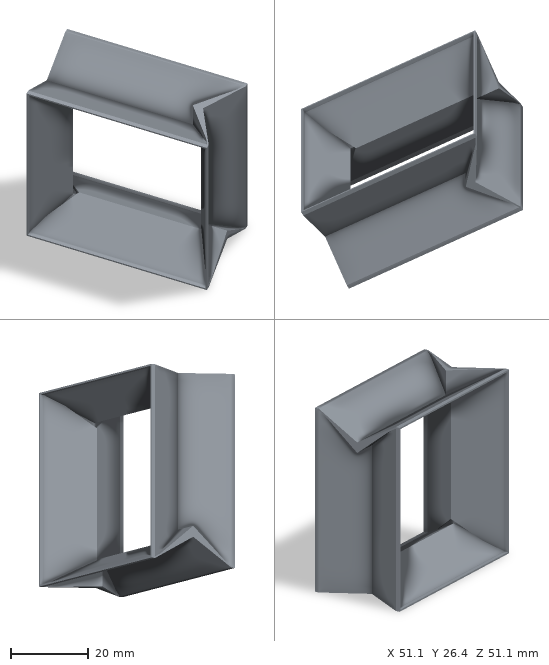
import cadquery as cq

frame_size = 51.1
frame_depth = 26.4
flange_width = 1.2
groove_depth = 6.85
flange_thickness = 0.45
fold_thickness = 0.6
closure_depth = 9.75
notch_depth = 9.1
notch_half_width = 11.2

half_size = frame_size / 2
half_depth = frame_depth / 2
groove_half_width = half_depth - flange_width
side_count = 4


def prism_along_x(points, start, length):
    """Extrude a (Y, Z) outline along +X."""
    return cq.Workplane("YZ", origin=(start, 0, 0)).polyline(points).close().extrude(length)


def full_groove():
    """Open V above the folded web of the top strip."""
    points = [
        (-groove_half_width, half_size),
        (0, half_size - groove_depth),
        (groove_half_width, half_size),
    ]
    return prism_along_x(points, -half_size, frame_size)


def quarter_turn(shape, turns):
    return shape.rotate((0, 0, 0), (0, 1, 0), turns * 360 / side_count)


def folded_sheet():
    """Full-length top strip: flat edge flanges and a web folded into a V."""
    inner_z = half_size - flange_thickness
    points = [
        (-half_depth, half_size),
        (-groove_half_width, half_size),
        (0, half_size - groove_depth),
        (groove_half_width, half_size),
        (half_depth, half_size),
        (half_depth, inner_z),
        (groove_half_width, inner_z),
        (0, half_size - groove_depth - fold_thickness),
        (-groove_half_width, inner_z),
        (-half_depth, inner_z),
    ]
    return prism_along_x(points, -half_size, frame_size)


def end_notch():
    """V notch through the +X end of the top strip."""
    points = [
        (half_size, -notch_half_width),
        (half_size - notch_depth, 0),
        (half_size, notch_half_width),
    ]
    return cq.Workplane("XY").polyline(points).close().extrude(half_size)


def corner_closure():
    """Chevron wedge below the web at -X, filling the neighbour's groove."""
    points = [
        (-groove_half_width, half_size),
        (0, half_size - groove_depth),
        (groove_half_width, half_size),
        (0, half_size - closure_depth),
    ]
    chevron = prism_along_x(points, -half_size, groove_depth)
    closure = chevron.intersect(quarter_turn(full_groove(), -1))
    solid_core = full_groove().translate((0, 0, fold_thickness))
    notch_opening = quarter_turn(end_notch().cut(solid_core), -1)
    return closure.cut(notch_opening)


def strip():
    neighbour_groove = quarter_turn(full_groove(), 1)
    trimmed_sheet = folded_sheet().cut(end_notch()).cut(neighbour_groove)
    return trimmed_sheet.union(corner_closure())


top_strip = strip()
result = top_strip
for turn in range(1, side_count):
    result = result.union(quarter_turn(top_strip, turn))